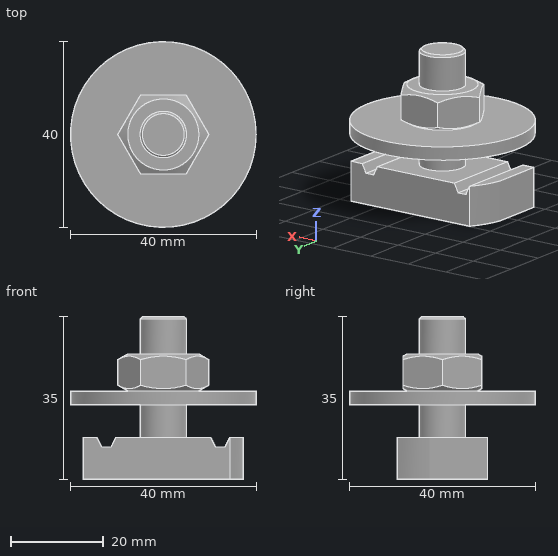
import cadquery as cq
import math

head_length = 34.5
head_width = 19.5
head_height = 9.0

corner_radius = 16.5
corner_length = 2.95
corner_width = 7.05

groove_offset = 12.25
groove_top_width = 4.0
groove_floor_width = 2.0
groove_depth = 2.0

rod_diameter = 10.0
rod_top = 35.0
rod_chamfer = 0.5

washer_diameter = 40.0
washer_hole_diameter = 10.5
washer_thickness = 3.0
washer_bottom = 16.0

nut_sides = 6
nut_across_flats = 17.0
nut_height = 8.0
nut_face_diameter = 0.9 * nut_across_flats
nut_chamfer_angle = 30.0
nut_bottom = washer_bottom + washer_thickness


def make_head():
    half_length = head_length / 2
    half_width = head_width / 2
    arc_start_x = half_length - corner_length
    arc_end_y = half_width - corner_width
    return (
        cq.Workplane("XY")
        .moveTo(-half_length, -half_width)
        .lineTo(arc_start_x, -half_width)
        .radiusArc((half_length, -arc_end_y), -corner_radius)
        .lineTo(half_length, half_width)
        .lineTo(-arc_start_x, half_width)
        .radiusArc((-half_length, arc_end_y), -corner_radius)
        .close()
        .extrude(head_height)
    )


def make_groove(center_x):
    floor_z = head_height - groove_depth
    return (
        cq.Workplane("XZ")
        .polyline([
            (center_x - groove_top_width / 2, head_height),
            (center_x - groove_floor_width / 2, floor_z),
            (center_x + groove_floor_width / 2, floor_z),
            (center_x + groove_top_width / 2, head_height),
        ])
        .close()
        .extrude(head_width, both=True)
    )


def make_rod():
    return (
        cq.Workplane("XY")
        .circle(rod_diameter / 2)
        .extrude(rod_top)
        .faces(">Z")
        .chamfer(rod_chamfer)
    )


def make_washer():
    return (
        cq.Workplane("XY", origin=(0, 0, washer_bottom))
        .circle(washer_diameter / 2)
        .circle(washer_hole_diameter / 2)
        .extrude(washer_thickness)
    )


def make_nut():
    across_corners = nut_across_flats / math.cos(math.pi / nut_sides)
    hexagon = cq.Workplane("XY").polygon(nut_sides, across_corners).extrude(nut_height)
    face_radius = nut_face_diameter / 2
    outer_radius = across_corners / 2
    chamfer_drop = (outer_radius - face_radius) * math.tan(math.radians(nut_chamfer_angle))
    blank = (
        cq.Workplane("XZ")
        .polyline([
            (0, 0),
            (face_radius, 0),
            (outer_radius, chamfer_drop),
            (outer_radius, nut_height - chamfer_drop),
            (face_radius, nut_height),
            (0, nut_height),
        ])
        .close()
        .revolve(360, (0, 0, 0), (0, 1, 0))
    )
    return hexagon.intersect(blank).translate((0, 0, nut_bottom))


head = make_head()
for side in (-1, 1):
    head = head.cut(make_groove(side * groove_offset))

result = head.union(make_rod()).union(make_washer()).union(make_nut())